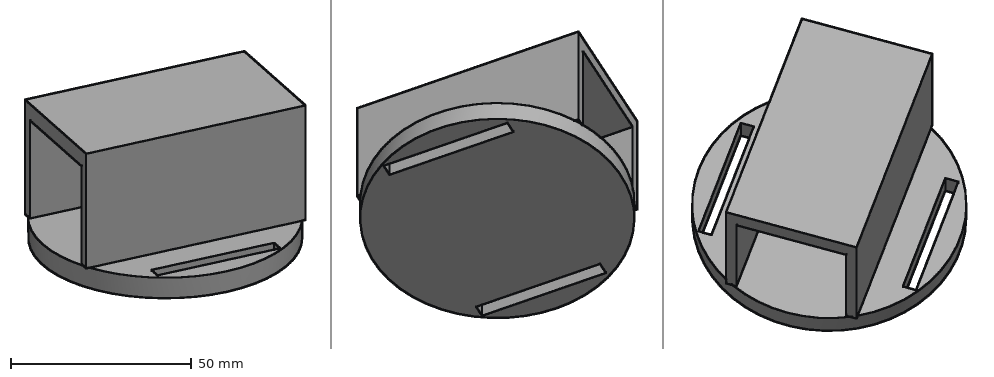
import cadquery as cq

base_diameter = 76.2
base_thickness = 6.4
total_height = 41.9

channel_width = 38.1
channel_length = 68.1
side_wall = 3.05
roof_thickness = 5.1
channel_height = total_height - base_thickness
opening_width = channel_width - 2 * side_wall
opening_height = channel_height - roof_thickness

slot_width = 3.8
slot_length = 38.1
slot_offset_x = 29.9
slot_offset_y = 0.8


def make_base():
    """Disc with two straight slots cut through it."""
    disc = cq.Workplane("XY").circle(base_diameter / 2).extrude(base_thickness)
    slot_centers = [(side * slot_offset_x, slot_offset_y) for side in (-1, 1)]
    slots = (
        cq.Workplane("XY")
        .pushPoints(slot_centers)
        .rect(slot_width, slot_length)
        .extrude(base_thickness)
    )
    return disc.cut(slots)


def make_channel():
    """Inverted U whose four corners overhang the disc slightly."""
    on_base = cq.Workplane("XY").workplane(offset=base_thickness)
    block = on_base.rect(channel_width, channel_length).extrude(channel_height)
    opening = on_base.rect(opening_width, channel_length).extrude(opening_height)
    return block.cut(opening)


result = make_base().union(make_channel())